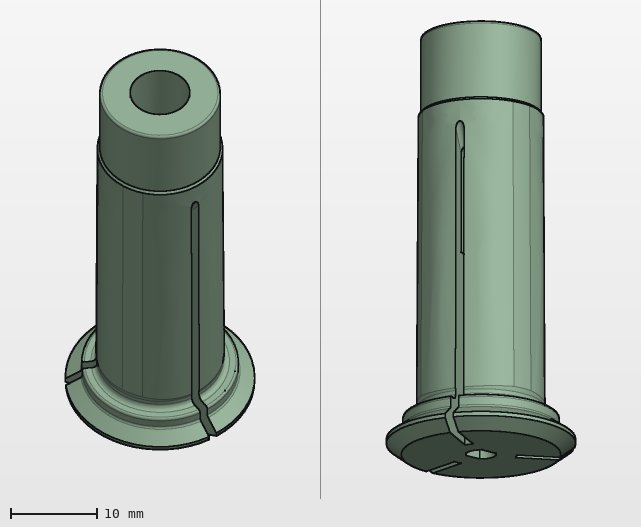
import cadquery as cq
import math

total_height = 50.5
shoulder_z = 41.05
neck_top_z = 5.7
collar_top_z = 4.55
collar_bottom_z = 3.1
rim_top_z = 1.8
rim_bottom_z = 1.3

head_radius = 14.0 / 2
body_top_radius = 7.25
neck_radius = 7.35
collar_radius = 9.1
flange_radius = 21.95 / 2
base_radius = 9.25

head_round = 0.3
shoulder_chamfer = 0.3
neck_fillet = 0.65
collar_round = 0.3
collar_foot_setback = 0.2

crown_radius = 7.45
slot_side_radius = 7.4
crown_half_angle = 10.0
undercut_taper = 9.5

socket_radius = 6.9 / 2
socket_depth = 8.6
socket_floor_half_angle = 59.0
drive_radius = 1.75
drive_flats = 2.9

relief_radius = 10.9 / 2
core_radius = 8.4 / 2
relief_top_z = 36.35
relief_bottom_z = 23.05

jaw_count = 3
slot_width = 1.0
slot_top_z = 37.7
slot_end_angle = 54.5

overlap = 0.5


def revolve_profile(profile):
    """Turn a closed half-section in the XZ plane about the Z axis."""
    return profile.close().revolve(360, (0, 0, 0), (0, 1, 0))


def flange_and_neck():
    """Flange, collar and neck below the body."""
    cone_run = flange_radius - collar_radius
    cone_rise = collar_bottom_z - rim_top_z
    setback = collar_foot_setback / math.hypot(cone_run, cone_rise)
    foot_start = (collar_radius + cone_run * setback, collar_bottom_z - cone_rise * setback)
    return revolve_profile(
        cq.Workplane("XZ")
        .lineTo(base_radius, 0)
        .lineTo(flange_radius, rim_bottom_z)
        .lineTo(flange_radius, rim_top_z)
        .lineTo(*foot_start)
        .tangentArcPoint((collar_radius, collar_bottom_z + collar_foot_setback), relative=False)
        .lineTo(collar_radius, collar_top_z - collar_round)
        .tangentArcPoint((-collar_round, collar_round))
        .lineTo(neck_radius + neck_fillet, collar_top_z)
        .tangentArcPoint((-neck_fillet, neck_fillet))
        .lineTo(neck_radius, neck_top_z)
        .lineTo(0, neck_top_z)
    )


def head():
    """Plain cylindrical head with its foot chamfer and rounded top edge."""
    return revolve_profile(
        cq.Workplane("XZ", origin=(0, 0, shoulder_z - shoulder_chamfer / 2))
        .lineTo(body_top_radius, 0)
        .lineTo(head_radius, shoulder_chamfer)
        .lineTo(head_radius, total_height - shoulder_z + shoulder_chamfer / 2 - head_round)
        .tangentArcPoint((-head_round, head_round))
        .lineTo(0, total_height - shoulder_z + shoulder_chamfer / 2)
    )


def polar_point(radius, angle):
    """Point at the given radius and angle in degrees."""
    return (radius * math.cos(math.radians(angle)), radius * math.sin(math.radians(angle)))


def jaw_outline(sketch, crown, slot_side):
    """Closed body section: a crown arc on each jaw, joined by flatter arcs across the slots."""
    pitch = 360 / jaw_count
    outline = sketch.moveTo(*polar_point(crown, pitch / 2 - crown_half_angle))
    for index in range(jaw_count):
        middle = (index + 0.5) * pitch
        outline = outline.threePointArc(
            polar_point(crown, middle), polar_point(crown, middle + crown_half_angle)
        ).threePointArc(
            polar_point(slot_side, middle + pitch / 2),
            polar_point(crown, middle + pitch - crown_half_angle),
        )
    return outline.close()


def body():
    """Body tapering from the crowned jaw section up to a round top, with a flared lower edge."""
    height = shoulder_z - shoulder_chamfer / 2 - neck_top_z
    bottom = jaw_outline(cq.Workplane("XY", origin=(0, 0, neck_top_z)), crown_radius, slot_side_radius)
    taper = jaw_outline(bottom.workplane(offset=height), body_top_radius, body_top_radius).loft(ruled=True)
    flare_height = 2 * (crown_radius - neck_radius) / math.tan(math.radians(undercut_taper))
    envelope = revolve_profile(
        cq.Workplane("XZ", origin=(0, 0, neck_top_z))
        .lineTo(neck_radius, 0)
        .lineTo(2 * crown_radius - neck_radius, flare_height)
        .lineTo(2 * crown_radius - neck_radius, height)
        .lineTo(0, height)
    )
    return taper.intersect(envelope)


def drive_socket():
    """Round bore with a drill-point floor."""
    floor_z = total_height - socket_depth
    point_depth = socket_radius / math.tan(math.radians(socket_floor_half_angle))
    return revolve_profile(
        cq.Workplane("XZ")
        .moveTo(0, total_height + overlap)
        .lineTo(socket_radius, total_height + overlap)
        .lineTo(socket_radius, floor_z)
        .lineTo(0, floor_z - point_depth)
    )


def drive_hole():
    """Double-D hole from the socket floor through to the bottom."""
    hole_height = total_height - socket_depth
    hole = cq.Workplane("XY").circle(drive_radius).extrude(hole_height)
    flats = cq.Workplane("XY").rect(drive_flats, 2 * drive_radius).extrude(hole_height)
    return hole.intersect(flats)


def relief_bore():
    """Bore that thins the sleeve; the core refills its middle and leaves an annular gap."""
    return (
        cq.Workplane("XY", origin=(0, 0, relief_bottom_z))
        .circle(relief_radius)
        .extrude(relief_top_z - relief_bottom_z)
    )


def core():
    """Core that stands inside the slotted sleeve."""
    return cq.Workplane("XY").circle(core_radius).extrude(relief_top_z)


def jaw_slot():
    """Radial slot on the +X side with a sloping, fully rounded upper end."""
    slope = math.tan(math.radians(slot_end_angle))
    reach = flange_radius + overlap
    axis_z = slot_top_z - crown_radius * slope
    reach_z = axis_z + reach * slope
    slot = (
        cq.Workplane("XZ")
        .polyline([(0, -overlap), (reach, -overlap), (reach, reach_z), (0, axis_z)])
        .close()
        .extrude(slot_width / 2, both=True)
    )
    end_round = cq.Solid.makeCylinder(
        slot_width / 2,
        math.hypot(reach, reach * slope),
        cq.Vector(0, 0, axis_z),
        cq.Vector(1, 0, slope),
    )
    return slot.union(cq.Workplane(end_round))


result = flange_and_neck().union(body()).union(head()).cut(relief_bore())
for index in range(jaw_count):
    result = result.cut(jaw_slot().rotate((0, 0, 0), (0, 0, 1), index * 360 / jaw_count))
result = result.union(core()).cut(drive_socket()).cut(drive_hole())